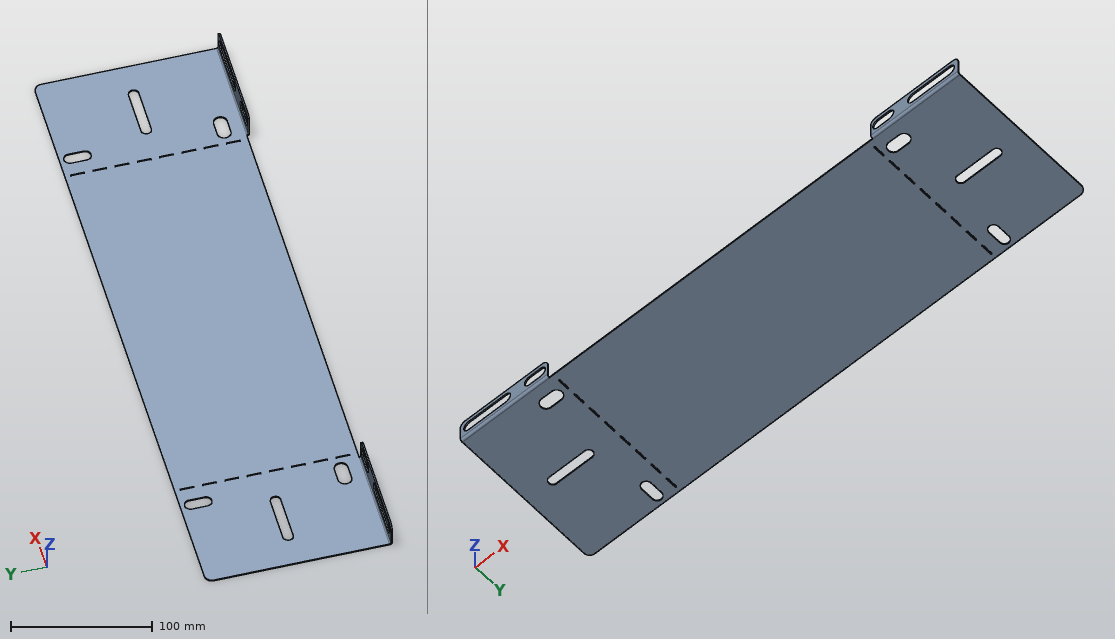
import cadquery as cq

length = 473.0
depth = 136.0
height = 20.0
thickness = 1.2
bend_inner_radius = 1.0
bend_outer_radius = bend_inner_radius + thickness
plate_corner_radius = 5.5

half_length = length / 2
rear_y = depth / 2
front_y = -depth / 2
plate_front_y = front_y + bend_outer_radius

flange_length = 83.0
flange_corner_radius = 4.5
flange_center_x = half_length - flange_length / 2
flange_slot_z = 11.0
flange_slot_width = 10.0
long_flange_slot_length = 44.5
long_flange_slot_inset = 25.5
short_flange_slot_length = 20.0
short_flange_slot_inset = 71.0

mount_slot_length = 20.0
front_slot_width = 10.0
rear_slot_width = 8.5
mount_slot_inset = 71.5
rear_slot_y = rear_y - 13.2
front_slot_y = front_y + 17.0
middle_slot_length = 41.5
middle_slot_width = 7.5
middle_slot_inset = 42.5
middle_slot_y = rear_y - 66.5

slit_count = 8
slit_length = 10.0
slit_width = 1.0
slit_row_span = 114.0
slit_pitch = slit_row_span / (slit_count - 1)
slit_row_inset = 86.5
slit_row_center_y = rear_y - 66.0


def make_plate():
    plate_depth = rear_y - plate_front_y
    return (
        cq.Workplane("XY")
        .center(0, (rear_y + plate_front_y) / 2)
        .rect(length, plate_depth)
        .extrude(thickness)
        .edges("|Z and >Y")
        .fillet(plate_corner_radius)
    )


def make_flange(side):
    """Bend and upright wall at the end given by side (-1 or 1)."""
    wall_inner_y = front_y + thickness
    bend_diagonal = 0.5 ** 0.5
    outer_middle = (
        plate_front_y - bend_outer_radius * bend_diagonal,
        bend_outer_radius * (1 - bend_diagonal),
    )
    inner_middle = (
        plate_front_y - bend_inner_radius * bend_diagonal,
        bend_outer_radius - bend_inner_radius * bend_diagonal,
    )
    return (
        cq.Workplane("YZ", origin=(side * flange_center_x, 0, 0))
        .moveTo(plate_front_y, 0)
        .threePointArc(outer_middle, (front_y, bend_outer_radius))
        .lineTo(front_y, height)
        .lineTo(wall_inner_y, height)
        .lineTo(wall_inner_y, bend_outer_radius)
        .threePointArc(inner_middle, (plate_front_y, thickness))
        .close()
        .extrude(flange_length / 2, both=True)
        .edges("|Y and >Z")
        .fillet(flange_corner_radius)
    )


def flange_slot(x, slot_length):
    return (
        cq.Workplane("XZ", origin=(x, front_y, flange_slot_z))
        .slot2D(slot_length, flange_slot_width)
        .extrude(thickness, both=True)
    )


def plate_slot(x, y, slot_length, slot_width, angle=0):
    return (
        cq.Workplane("XY", origin=(x, y, 0))
        .slot2D(slot_length, slot_width, angle)
        .extrude(thickness)
    )


def slit_row(x):
    return (
        cq.Workplane("XY", origin=(x, slit_row_center_y, 0))
        .rarray(4.5, slit_pitch, 1, slit_count)
        .rect(slit_width, slit_length)
        .extrude(thickness)
    )


result = make_plate()
for side in (-1, 1):
    mount_x = side * (half_length - mount_slot_inset)
    middle_x = side * (half_length - middle_slot_inset)
    slit_x = side * (half_length - slit_row_inset)
    long_flange_slot_x = side * (half_length - long_flange_slot_inset)
    short_flange_slot_x = side * (half_length - short_flange_slot_inset)
    result = (
        result.union(make_flange(side))
        .cut(flange_slot(long_flange_slot_x, long_flange_slot_length))
        .cut(flange_slot(short_flange_slot_x, short_flange_slot_length))
        .cut(plate_slot(mount_x, rear_slot_y, mount_slot_length, rear_slot_width, angle=90))
        .cut(plate_slot(mount_x, front_slot_y, mount_slot_length, front_slot_width))
        .cut(plate_slot(middle_x, middle_slot_y, middle_slot_length, middle_slot_width))
        .cut(slit_row(slit_x))
    )